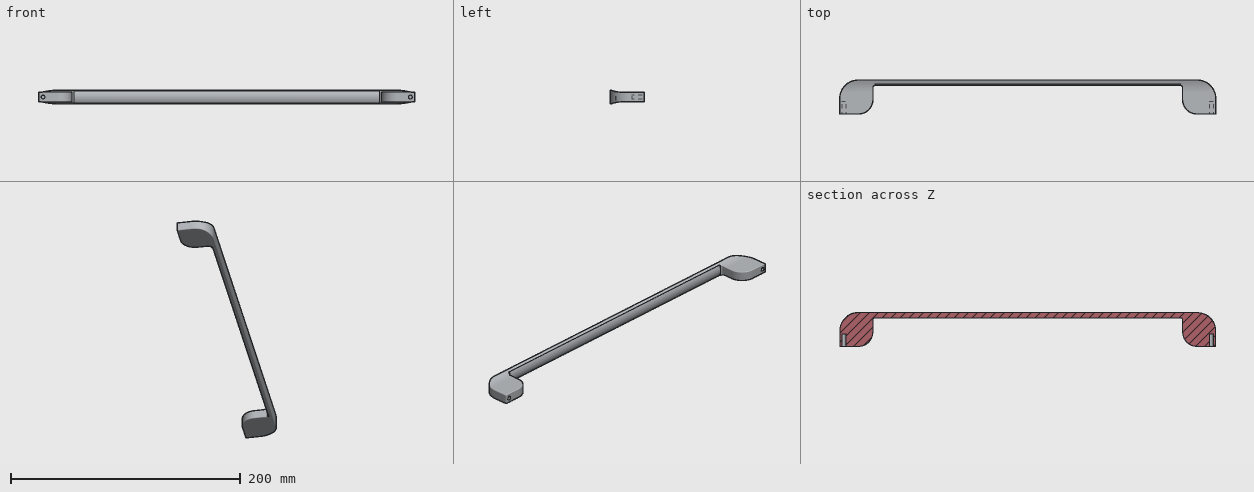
import cadquery as cq
import math

length = 328.0
depth = 30.0
back_corner_height = 12.8
edge_radius = 0.5

foot_width = 29.2
foot_height = 8.5
outer_corner_radius = 16.5
inner_corner_radius = 12.8
root_fillet_radius = 1.5

flare_depth = 10.8

bar_depth = 5.0
dome_rise = 1.3
dome_clearance = 1.3

hole_spacing = 320.0
hole_diameter = 3.3
hole_depth = 10.8

half_length = length / 2
back_y = depth / 2
front_y = -depth / 2
foot_inner_x = half_length - foot_width
bar_front_y = back_y - bar_depth
dome_edge_y = bar_front_y + dome_rise
tool_height = 2 * back_corner_height
flare_start_y = back_y - flare_depth

flare_rise = (back_corner_height - foot_height) / 2
flare_radius = (flare_depth**2 + flare_rise**2) / (2 * flare_rise)


def flare_half_height(y):
    """Half height of the flared section at a given y behind the flare start."""
    run = y - flare_start_y
    return foot_height / 2 + flare_radius - math.sqrt(flare_radius**2 - run**2)


def flared_section():
    """Side section of the handle, extruded along the whole length."""
    mid_y = back_y - flare_depth / 2
    mid_z = flare_half_height(mid_y)
    return (
        cq.Workplane("YZ", origin=(-half_length, 0, 0))
        .moveTo(front_y, -foot_height / 2)
        .lineTo(flare_start_y, -foot_height / 2)
        .threePointArc((mid_y, -mid_z), (back_y, -back_corner_height / 2))
        .lineTo(back_y, back_corner_height / 2)
        .threePointArc((mid_y, mid_z), (flare_start_y, foot_height / 2))
        .lineTo(front_y, foot_height / 2)
        .close()
        .extrude(length)
    )


def plan_outline():
    """Plan shape of the handle: a bar along the back with a foot at each end."""
    block = (
        cq.Workplane("XY")
        .box(length, depth, tool_height)
        .edges("|Z and >Y")
        .fillet(outer_corner_radius)
        .edges("|Z and <Y")
        .fillet(edge_radius)
    )
    gap = (
        cq.Workplane("XY")
        .box(2 * foot_inner_x, depth, tool_height)
        .translate((0, -bar_depth, 0))
        .edges("|Z and >Y")
        .fillet(root_fillet_radius)
    )
    outline = block.cut(gap)
    for side in (-1, 1):
        corner = cq.selectors.NearestToPointSelector((side * foot_inner_x, front_y, 0))
        outline = outline.edges(corner).fillet(inner_corner_radius)
    return outline


def rounded_body():
    """Handle with both rims rounded; the rounding follows each smooth rim all the way round."""
    body = plan_outline().intersect(flared_section())
    return body.edges("|X and >Y").fillet(edge_radius)


def dome_cutter():
    """Material removed between the root fillets to leave the bar front domed."""
    edge_z = flare_half_height(dome_edge_y)
    half_span = foot_inner_x - root_fillet_radius
    return (
        cq.Workplane("YZ", origin=(-half_span, 0, 0))
        .moveTo(bar_front_y - dome_clearance, -tool_height / 2)
        .lineTo(dome_edge_y, -tool_height / 2)
        .lineTo(dome_edge_y, -edge_z)
        .threePointArc((bar_front_y, 0), (dome_edge_y, edge_z))
        .lineTo(dome_edge_y, tool_height / 2)
        .lineTo(bar_front_y - dome_clearance, tool_height / 2)
        .close()
        .extrude(2 * half_span)
    )


def mounting_holes():
    """Blind holes going back from the front of each foot."""
    return (
        cq.Workplane("XZ", origin=(0, front_y, 0))
        .pushPoints([(-hole_spacing / 2, 0), (hole_spacing / 2, 0)])
        .circle(hole_diameter / 2)
        .extrude(-hole_depth)
    )


result = rounded_body().cut(dome_cutter()).cut(mounting_holes())